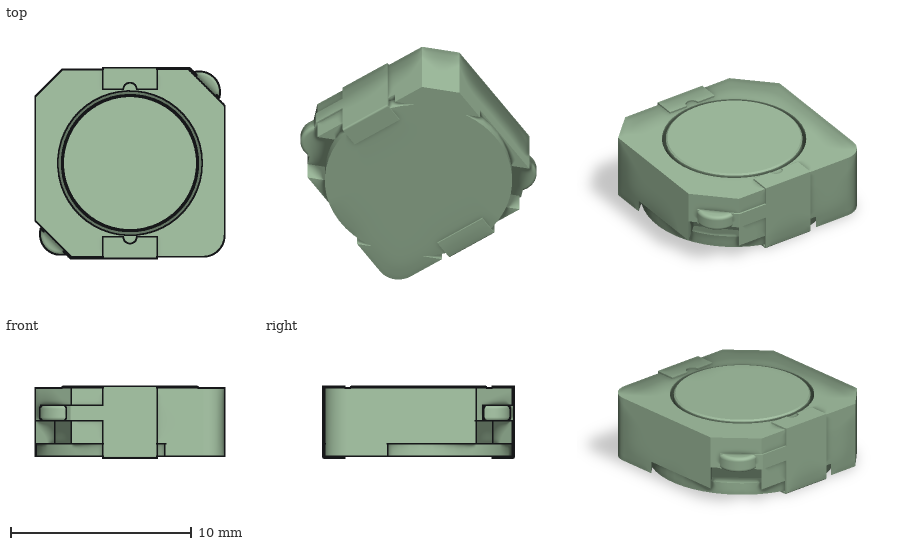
import cadquery as cq
import math


length_y = 10.6
height = 4.0
metal = 0.1

housing_x = 10.52
housing_y = length_y - 2 * metal
housing_bottom = metal
housing_height = height - 2 * metal
housing_top = housing_bottom + housing_height
half_x = housing_x / 2
half_y = housing_y / 2
terminal_chamfer = 2.0
plain_chamfer = 1.49
corner_radius = 1.2

core_radius = 3.8
groove_radius = 4.01
core_lead = 0.08

base_height = 0.7
base_top = housing_bottom + base_height
base_radius = half_y
relief_past_x = 1.94
relief_past_y = 1.7
relief_run = 1.59

strap_width = 3.0
flange_length = 1.21
notch_radius = 0.37
arm_bottom = 2.07
arm_height = 0.88

wire_half_width = 1.01
wire_reach = 0.58
wire_shift = 0.11
wire_rounding = 0.2

window_depth = 1.53
window_height = arm_bottom - base_top

chamfer_mid_x = -half_x + terminal_chamfer / 2
chamfer_mid_y = -half_y + terminal_chamfer / 2
chamfer_width = terminal_chamfer * math.sqrt(2)


def half_turn(shape):
    return shape.rotate((0, 0, 0), (0, 0, 1), 180)


def chamfer_plane(z):
    """Level workplane at the chamfer middle: X runs toward +X and -Y, Y into the housing."""
    return cq.Workplane(
        cq.Plane(origin=(chamfer_mid_x, chamfer_mid_y, z), xDir=(1, -1, 0), normal=(0, 0, 1))
    )


def housing_block():
    block = (
        cq.Workplane("XY", origin=(0, 0, housing_bottom))
        .rect(housing_x, housing_y)
        .extrude(housing_height)
    )
    block = block.edges("|Z").edges("<(1,1,0) or >(1,1,0)").chamfer(terminal_chamfer)
    block = block.edges("|Z").edges("<(1,-1,0)").chamfer(plain_chamfer)
    return block.edges("|Z").edges(">(1,-1,0)").fillet(corner_radius)


def core_groove():
    return (
        cq.Workplane("XY", origin=(0, 0, base_top))
        .circle(groove_radius)
        .circle(core_radius)
        .extrude(housing_top - base_top)
    )


def raised_core():
    return (
        cq.Workplane("XY", origin=(0, 0, housing_top))
        .circle(core_radius)
        .extrude(metal)
        .faces(">Z")
        .edges()
        .chamfer(core_lead)
    )


def corner_relief():
    """Skirt material outside the round base, around the (-X, -Y) corner.

    Both end walls run parallel to the diagonal of that corner.
    """
    skirt = (
        cq.Workplane("XY", origin=(0, 0, housing_bottom))
        .moveTo(-half_x, -half_y)
        .lineTo(relief_past_x, -half_y)
        .line(relief_run, relief_run)
        .lineTo(-half_x + relief_run, relief_past_y + relief_run)
        .line(-relief_run, -relief_run)
        .close()
        .extrude(base_height)
    )
    base = cq.Workplane("XY", origin=(0, 0, housing_bottom)).circle(base_radius).extrude(base_height)
    return skirt.cut(base)


def wire_window():
    return (
        chamfer_plane(base_top)
        .rect(chamfer_width, 2 * window_depth)
        .extrude(window_height)
    )


def make_housing():
    body = housing_block().cut(core_groove()).union(raised_core())
    for cutter in (corner_relief(), wire_window()):
        body = body.cut(cutter).cut(half_turn(cutter))
    return body


def clip_strap():
    """C-shaped strap around the -Y side, rounded at its lower outer edge."""
    strap = (
        cq.Workplane("XY", origin=(-strap_width / 2, -length_y / 2, 0))
        .rect(strap_width, flange_length, centered=False)
        .extrude(height)
        .edges("|X").edges("<(0,1,1)")
        .fillet(metal)
    )
    inside = (
        cq.Workplane("XY", origin=(-strap_width / 2, -half_y, housing_bottom))
        .rect(strap_width, flange_length, centered=False)
        .extrude(housing_height)
    )
    notch = (
        cq.Workplane("XY", origin=(0, flange_length - length_y / 2, housing_top))
        .circle(notch_radius)
        .extrude(metal)
    )
    return strap.cut(inside).cut(notch)


def clip_arm():
    """Flat arm from the strap to the corner, bent along the chamfer."""
    bend_x = -half_x + terminal_chamfer
    bend_shift = metal * math.tan(math.pi / 8)
    end_shift = (wire_half_width - wire_shift) / math.sqrt(2)
    end_x = chamfer_mid_x - end_shift
    end_y = chamfer_mid_y + end_shift
    skin = metal / math.sqrt(2)
    bend_edge = cq.selectors.NearestToPointSelector(
        (bend_x - bend_shift, -length_y / 2, arm_bottom + arm_height / 2)
    )
    return (
        cq.Workplane("XY", origin=(0, 0, arm_bottom))
        .moveTo(-strap_width / 2, -half_y)
        .lineTo(bend_x, -half_y)
        .lineTo(end_x, end_y)
        .lineTo(end_x - skin, end_y - skin)
        .lineTo(bend_x - bend_shift, -length_y / 2)
        .lineTo(-strap_width / 2, -length_y / 2)
        .close()
        .extrude(arm_height)
        .edges("|Z")
        .edges(bend_edge)
        .fillet(metal)
    )


def wire_end():
    """Rounded pad bulging outward from the arm."""
    return (
        chamfer_plane(arm_bottom)
        .moveTo(wire_shift - wire_half_width, -metal)
        .threePointArc((wire_shift, -metal - wire_reach), (wire_shift + wire_half_width, -metal))
        .close()
        .extrude(arm_height)
        .edges("%CIRCLE")
        .fillet(wire_rounding)
    )


def make_clip(angle):
    clip = clip_strap().union(clip_arm()).union(wire_end())
    return clip.rotate((0, 0, 0), (0, 0, 1), angle)


housing = make_housing()
clips = [make_clip(angle) for angle in (0, 180)]

result = cq.Compound.makeCompound([housing.val(), *[clip.val() for clip in clips]])